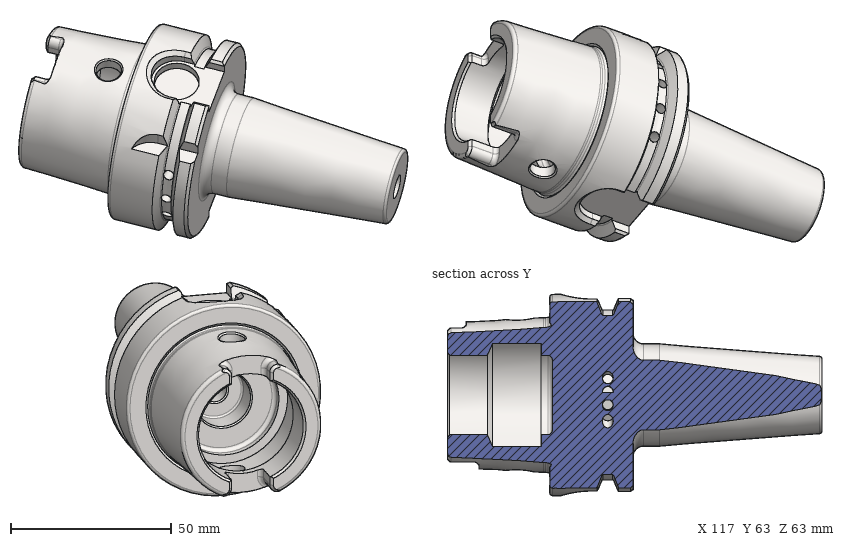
import cadquery as cq
import math

LENGTH = 117.0

GAUGE_X = 25.7
GAUGE_RADIUS = 24.0
TAPER_SLOPE = 0.05
TAPER_END_X = 30.0
COLLAR_START_X = 30.7
COLLAR_END_X = 31.5
COLLAR_RISE = 0.1
FACE_RELIEF_DEPTH = 0.5
FACE_RELIEF_BOTTOM_RADIUS = 24.7
FACE_RELIEF_RADIUS = 25.4
SHANK_ROUND = 1.2

FLANGE_START_X = 31.9
FLANGE_END_X = 58.0
FLANGE_RADIUS = 31.5
FLANGE_EDGE = 0.9

GROOVE_X = 50.1
GROOVE_RADIUS = 27.5
GROOVE_FLOOR_WIDTH = 3.0
GROOVE_FLANK_END_WIDTH = 3.7
GROOVE_CORNER_HEIGHT = 0.5
GROOVE_MOUTH_WIDTH = 6.8

NECK_RADIUS = 16.0
NECK_ROUND = 3.2
NECK_END_X = 66.2
TIP_RADIUS = 12.0
TIP_ROUND = 0.9

BORE_RADIUS = 17.0
BORE_DEPTH = 32.8
BORE_LEAD = 0.7
BORE_FLOOR_ROUND = 1.3
UNDERCUT_START_X = 12.5
UNDERCUT_END_X = 29.2
UNDERCUT_RADIUS = 19.8
UNDERCUT_ANGLE = 60
THREAD_RADIUS = 8.9
THREAD_DEPTH = 9.4
THREAD_LEAD = 0.5
THREAD_FLOOR_ROUND = 0.6
COOLANT_RADIUS = 3.7
COOLANT_LEAD = 0.5

SLOT_HALF_WIDTH = 6.2
SLOT_TOP_DEPTH = 5.8
SLOT_BOTTOM_DEPTH = 9.8
SLOT_SHOULDER_Z = 21.0
SLOT_SHOULDER_ROUND = 2.5
SLOT_FLOOR_ROUND = 1.5
SLOT_LEAD = 0.9
SLOT_OVERRUN = 1.2

CROSS_HOLE_X = 22.7
CROSS_HOLE_RADIUS = 4.0
CROSS_HOLE_LEAD = 0.5

KEYWAY_X = 44.9
KEYWAY_HALF_WIDTH = 8.0
KEYWAY_FLOOR_Z = 26.6
KEYWAY_ROUND_END_LEAD = 1.5
KEYWAY_OPEN_END_LEAD = 0.9
CHIP_RADIUS = 7.0
CHIP_DEPTH = 2.8

NOTCH_Y = -19.9
NOTCH_Z = 19.9

BALANCE_RADIUS = 1.6
BALANCE_DEPTH = 15.8
BALANCE_ANGLES = (25, 5, -15, -35)

CLEAR = 46.8


def taper_radius(x):
    """Radius of the tapered shank at position x."""
    return GAUGE_RADIUS + TAPER_SLOPE * (x - GAUGE_X)


def make_body():
    """Turned outside: shank, flange with gripper groove, and nose."""
    floor_half = GROOVE_FLOOR_WIDTH / 2
    flank_half = GROOVE_FLANK_END_WIDTH / 2
    flank_end_radius = GROOVE_RADIUS + GROOVE_CORNER_HEIGHT
    mouth_half = GROOVE_MOUTH_WIDTH / 2
    return (
        cq.Workplane("XY")
        .moveTo(0, 0)
        .lineTo(0, taper_radius(0) - SHANK_ROUND)
        .radiusArc((SHANK_ROUND, taper_radius(SHANK_ROUND)), SHANK_ROUND)
        .lineTo(TAPER_END_X, taper_radius(TAPER_END_X))
        .lineTo(COLLAR_START_X, taper_radius(TAPER_END_X))
        .lineTo(COLLAR_END_X, taper_radius(TAPER_END_X) + COLLAR_RISE)
        .lineTo(FLANGE_START_X + FACE_RELIEF_DEPTH, FACE_RELIEF_BOTTOM_RADIUS)
        .lineTo(FLANGE_START_X, FACE_RELIEF_RADIUS)
        .lineTo(FLANGE_START_X, FLANGE_RADIUS - FLANGE_EDGE)
        .radiusArc((FLANGE_START_X + FLANGE_EDGE, FLANGE_RADIUS), FLANGE_EDGE)
        .lineTo(GROOVE_X - mouth_half, FLANGE_RADIUS)
        .lineTo(GROOVE_X - flank_half, flank_end_radius)
        .lineTo(GROOVE_X - floor_half, GROOVE_RADIUS)
        .lineTo(GROOVE_X + floor_half, GROOVE_RADIUS)
        .lineTo(GROOVE_X + flank_half, flank_end_radius)
        .lineTo(GROOVE_X + mouth_half, FLANGE_RADIUS)
        .lineTo(FLANGE_END_X - FLANGE_EDGE, FLANGE_RADIUS)
        .lineTo(FLANGE_END_X, FLANGE_RADIUS - FLANGE_EDGE)
        .lineTo(FLANGE_END_X, NECK_RADIUS + NECK_ROUND)
        .radiusArc((FLANGE_END_X + NECK_ROUND, NECK_RADIUS), -NECK_ROUND)
        .lineTo(NECK_END_X, NECK_RADIUS)
        .lineTo(LENGTH, TIP_RADIUS)
        .lineTo(LENGTH, 0)
        .close()
        .revolve(360, (0, 0, 0), (1, 0, 0))
        .faces(">X")
        .edges()
        .fillet(TIP_ROUND)
    )


def make_bores():
    """Stepped bore along the axis, open at both ends."""
    thread_end = BORE_DEPTH + THREAD_DEPTH
    undercut_depth = UNDERCUT_RADIUS - BORE_RADIUS
    undercut_full_x = UNDERCUT_START_X + undercut_depth / math.tan(math.radians(UNDERCUT_ANGLE))
    return (
        cq.Workplane("XY")
        .moveTo(0, 0)
        .lineTo(0, BORE_RADIUS + BORE_LEAD)
        .lineTo(BORE_LEAD, BORE_RADIUS)
        .lineTo(UNDERCUT_START_X, BORE_RADIUS)
        .lineTo(undercut_full_x, UNDERCUT_RADIUS)
        .lineTo(UNDERCUT_END_X, UNDERCUT_RADIUS)
        .lineTo(UNDERCUT_END_X, BORE_RADIUS)
        .lineTo(BORE_DEPTH - BORE_FLOOR_ROUND, BORE_RADIUS)
        .radiusArc((BORE_DEPTH, BORE_RADIUS - BORE_FLOOR_ROUND), BORE_FLOOR_ROUND)
        .lineTo(BORE_DEPTH, THREAD_RADIUS + THREAD_LEAD)
        .lineTo(BORE_DEPTH + THREAD_LEAD, THREAD_RADIUS)
        .lineTo(thread_end - THREAD_FLOOR_ROUND, THREAD_RADIUS)
        .radiusArc((thread_end, THREAD_RADIUS - THREAD_FLOOR_ROUND), THREAD_FLOOR_ROUND)
        .lineTo(thread_end, COOLANT_RADIUS + COOLANT_LEAD)
        .lineTo(thread_end + COOLANT_LEAD, COOLANT_RADIUS)
        .lineTo(LENGTH, COOLANT_RADIUS)
        .lineTo(LENGTH, 0)
        .close()
        .revolve(360, (0, 0, 0), (1, 0, 0))
    )


def slot_profile(x, widening):
    """Drive slot section at position x: straight walls that round outwards into shoulders."""
    half = SLOT_HALF_WIDTH + widening
    shoulder_round = SLOT_SHOULDER_ROUND - widening
    shoulder_z = SLOT_SHOULDER_Z - widening
    round_y = half + shoulder_round
    round_z = shoulder_z - shoulder_round
    wide = FLANGE_RADIUS
    return (
        cq.Workplane("YZ", origin=(x, 0, 0))
        .moveTo(-half, 0)
        .lineTo(half, 0)
        .lineTo(half, round_z)
        .radiusArc((round_y, shoulder_z), shoulder_round)
        .lineTo(wide, shoulder_z)
        .lineTo(wide, CLEAR)
        .lineTo(-wide, CLEAR)
        .lineTo(-wide, shoulder_z)
        .lineTo(-round_y, shoulder_z)
        .radiusArc((-half, round_z), shoulder_round)
        .close()
    )


def slot_cutter(depth):
    """Drive slot cutter on the +Z side, with rounded floor edges and a lead-in at the end face."""
    side_edges = cq.selectors.BoxSelector(
        (depth - 1.2, -FLANGE_RADIUS + 1.2, 1.2), (depth + 1.2, FLANGE_RADIUS - 1.2, CLEAR - 1.2)
    )
    slot = (
        slot_profile(-SLOT_OVERRUN, 0)
        .extrude(depth + SLOT_OVERRUN)
        .faces(">X")
        .edges(side_edges)
        .fillet(SLOT_FLOOR_ROUND)
    )
    front = slot_profile(-SLOT_OVERRUN, SLOT_LEAD + SLOT_OVERRUN).wires().val()
    back = slot_profile(SLOT_LEAD, 0).wires().val()
    return slot.union(cq.Workplane(cq.Solid.makeLoft([front, back], True)))


def flip(cutter):
    """Turn a cutter from the +Z side to the -Z side."""
    return cutter.rotate((0, 0, 0), (1, 0, 0), 180)


def chamfer_cross_hole_rims(part):
    """Chamfer both rims of the cross hole on the outside of the shank."""
    reach = CROSS_HOLE_RADIUS + 0.1
    for low_z, high_z in ((BORE_RADIUS + 3.5, CLEAR), (-CLEAR, -BORE_RADIUS - 3.5)):
        region = cq.selectors.BoxSelector(
            (CROSS_HOLE_X - reach, -reach, low_z), (CROSS_HOLE_X + reach, reach, high_z)
        )
        part = part.edges(region).chamfer(CROSS_HOLE_LEAD)
    return part


def round_ended_slot(half_width, center_y, floor_z):
    """Slot cutter open towards +X and +Z, with a round end about KEYWAY_X."""
    return (
        cq.Workplane("XY", origin=(0, center_y, floor_z))
        .moveTo(FLANGE_END_X + 1.2, half_width)
        .lineTo(KEYWAY_X, half_width)
        .radiusArc((KEYWAY_X, -half_width), -half_width)
        .lineTo(FLANGE_END_X + 1.2, -half_width)
        .close()
        .extrude(FLANGE_RADIUS + 1.2 - floor_z)
    )


def chamfer_keyway_rims(part):
    """Chamfer the keyway edges on the flange surface: wider round the closed end."""
    reach = KEYWAY_HALF_WIDTH + 0.1
    rim_z = math.sqrt(FLANGE_RADIUS**2 - reach**2) - 0.1
    spans = (
        (FLANGE_START_X + FLANGE_EDGE, GROOVE_X - GROOVE_MOUTH_WIDTH / 2, KEYWAY_ROUND_END_LEAD),
        (GROOVE_X + GROOVE_MOUTH_WIDTH / 2, FLANGE_END_X - FLANGE_EDGE, KEYWAY_OPEN_END_LEAD),
    )
    for start_x, end_x, lead in spans:
        for low_z, high_z in ((rim_z, CLEAR), (-CLEAR, -rim_z)):
            region = cq.selectors.BoxSelector((start_x, -reach, low_z), (end_x, reach, high_z))
            part = part.edges(region).chamfer(lead)
    return part


def balance_hole(angle):
    """Radial hole in the groove floor, tilted up from -Y by the given angle."""
    return (
        cq.Workplane("XZ", origin=(GROOVE_X, BALANCE_DEPTH - GROOVE_RADIUS, 0))
        .circle(BALANCE_RADIUS)
        .extrude(CLEAR)
        .rotate((0, 0, 0), (1, 0, 0), -angle)
    )


body = make_body().cut(make_bores())
body = body.cut(slot_cutter(SLOT_TOP_DEPTH)).cut(flip(slot_cutter(SLOT_BOTTOM_DEPTH)))
cross_hole = (
    cq.Workplane("XY", origin=(CROSS_HOLE_X, 0, -CLEAR))
    .circle(CROSS_HOLE_RADIUS)
    .extrude(2 * CLEAR)
)
body = body.cut(cross_hole)
body = chamfer_cross_hole_rims(body)

keyway = round_ended_slot(KEYWAY_HALF_WIDTH, 0, KEYWAY_FLOOR_Z)
body = body.cut(keyway).cut(flip(keyway))
body = chamfer_keyway_rims(body)
chip_pocket = (
    cq.Workplane("XY", origin=(KEYWAY_X, 0, KEYWAY_FLOOR_Z - CHIP_DEPTH))
    .circle(CHIP_RADIUS)
    .extrude(CLEAR)
)
body = body.cut(chip_pocket)
body = body.cut(round_ended_slot(KEYWAY_HALF_WIDTH, NOTCH_Y - KEYWAY_HALF_WIDTH, NOTCH_Z))

for hole_angle in BALANCE_ANGLES:
    body = body.cut(balance_hole(hole_angle))

result = body